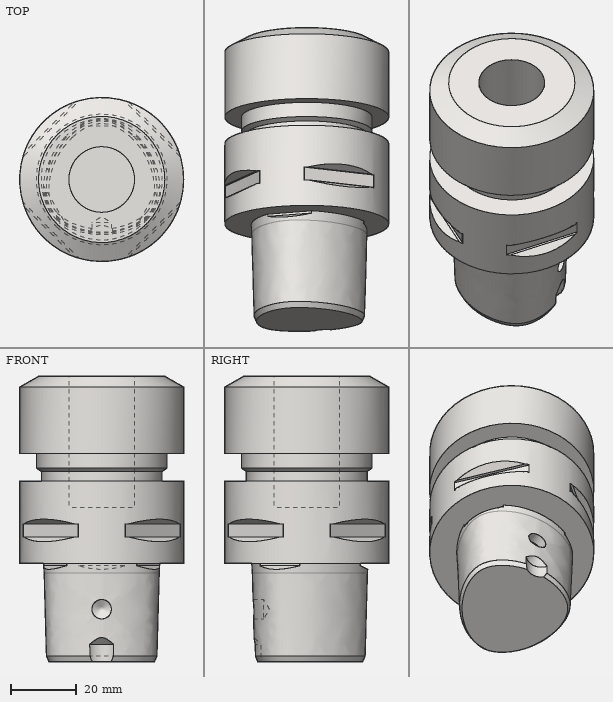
import cadquery as cq
import math

total_height = 87.0
shank_chamfer_top = 1.7
shank_taper_top = 27.1
flange_bottom = 30.0
flange_top = 55.1
neck_top = 57.9
collar_cone_top = 59.0
nut_bottom = 63.4
nut_chamfer_bottom = 83.7

body_radius = 50.0 / 2
neck_radius = 18.45
collar_radius = 19.9
nut_face_radius = 19.2
bore_radius = 10.0
bore_depth = 4 * bore_radius

lobe_count = 3
lobe_height = 1.0
shank_tip_radius = 16.1
shank_low_radius = 16.9
shank_high_radius = 17.6
shank_root_radius = 17.75
profile_points = 48

slot_count = 4
slot_floor = 21.8
slot_length = 23.7
slot_height = 4.0
slot_middle = 40.0
slot_flare_start = 22.5
slot_flare_angle = 30.0

groove_floor = 16.3
groove_length = 13.9
groove_floor_bottom = 29.3
groove_edge_bottom = 28.1

shank_flat = shank_low_radius - lobe_height
dimple_radius = 3.0
dimple_height = 16.0
dimple_depth = 2.8
drill_point_angle = 118.0
keyway_radius = 4.7
keyway_axis_y = -(shank_flat + 2.8)
keyway_height = 5.3

cut_margin = 4.35


def lobed_wire(mean_radius, height):
    """Constant-width outline whose distance from centre to tangent varies with three lobes, one at +Y."""
    points = []
    for index in range(profile_points):
        angle = 2 * math.pi * index / profile_points
        lobe_angle = lobe_count * (angle - math.pi / 2)
        reach = mean_radius + lobe_height * math.cos(lobe_angle)
        slope = -lobe_count * lobe_height * math.sin(lobe_angle)
        x = reach * math.cos(angle) - slope * math.sin(angle)
        y = reach * math.sin(angle) + slope * math.cos(angle)
        points.append(cq.Vector(x, y, height))
    return cq.Wire.assembleEdges([cq.Edge.makeSpline(points, periodic=True)])


def make_shank():
    levels = [
        (shank_tip_radius, 0.0),
        (shank_low_radius, shank_chamfer_top),
        (shank_high_radius, shank_taper_top),
        (shank_root_radius, flange_bottom),
    ]
    wires = [lobed_wire(radius, height) for radius, height in levels]
    return cq.Workplane(cq.Solid.makeLoft(wires, True))


def make_body():
    """Flange, neck, threaded collar and clamping nut, turned about Z."""
    return (
        cq.Workplane("XZ")
        .moveTo(0, flange_bottom)
        .lineTo(body_radius, flange_bottom)
        .lineTo(body_radius, flange_top)
        .lineTo(neck_radius, flange_top)
        .lineTo(neck_radius, neck_top)
        .lineTo(collar_radius, collar_cone_top)
        .lineTo(collar_radius, nut_bottom)
        .lineTo(body_radius, nut_bottom)
        .lineTo(body_radius, nut_chamfer_bottom)
        .lineTo(nut_face_radius, total_height)
        .lineTo(0, total_height)
        .close()
        .revolve(360, (0, 0, 0), (0, 1, 0))
    )


def make_bore():
    return cq.Workplane("XY").workplane(offset=total_height).circle(bore_radius).extrude(-bore_depth)


def make_flange_slot(angle):
    """Flat-floored slot with short straight walls that flare out to the rim."""
    outer = body_radius + cut_margin
    half_height = slot_height / 2
    flare = (outer - slot_flare_start) * math.tan(math.radians(slot_flare_angle))
    return (
        cq.Workplane("XZ")
        .moveTo(slot_floor, slot_middle - half_height)
        .lineTo(slot_flare_start, slot_middle - half_height)
        .lineTo(outer, slot_middle - half_height - flare)
        .lineTo(outer, slot_middle + half_height + flare)
        .lineTo(slot_flare_start, slot_middle + half_height)
        .lineTo(slot_floor, slot_middle + half_height)
        .close()
        .extrude(slot_length / 2, both=True)
        .rotate((0, 0, 0), (0, 0, 1), angle)
    )


def make_lobe_groove(angle):
    """Flat-floored groove against the flange, its lower wall sloping down to the lobe surface."""
    outer = shank_root_radius + lobe_height
    return (
        cq.Workplane("XZ")
        .moveTo(groove_floor, flange_bottom)
        .lineTo(groove_floor, groove_floor_bottom)
        .lineTo(outer, groove_edge_bottom)
        .lineTo(outer, flange_bottom)
        .close()
        .extrude(groove_length / 2, both=True)
        .rotate((0, 0, 0), (0, 0, 1), angle)
    )


def make_dimple():
    """Blind drilled hole with a conical end, pointing along +Y."""
    mouth = -shank_flat - cut_margin
    shoulder = -shank_flat + dimple_depth
    point_length = dimple_radius / math.tan(math.radians(drill_point_angle / 2))
    return (
        cq.Workplane("XY", origin=(0, 0, dimple_height))
        .moveTo(0, mouth)
        .lineTo(dimple_radius, mouth)
        .lineTo(dimple_radius, shoulder)
        .lineTo(0, shoulder + point_length)
        .close()
        .revolve(360, (0, 0, 0), (0, 1, 0))
    )


def make_keyway():
    """Upright round cutter with a 45 degree point, biting into the lower edge of the shank."""
    return (
        cq.Workplane("XZ", origin=(0, keyway_axis_y, 0))
        .lineTo(keyway_radius, 0)
        .lineTo(keyway_radius, keyway_height)
        .lineTo(0, keyway_height + keyway_radius)
        .close()
        .revolve(360, (0, 0, 0), (0, 1, 0))
    )


result = make_body().union(make_shank()).cut(make_bore())

for slot_index in range(slot_count):
    result = result.cut(make_flange_slot(45 + slot_index * 360 / slot_count))

for lobe_index in range(lobe_count):
    result = result.cut(make_lobe_groove(90 + lobe_index * 360 / lobe_count))

result = result.cut(make_dimple()).cut(make_keyway())